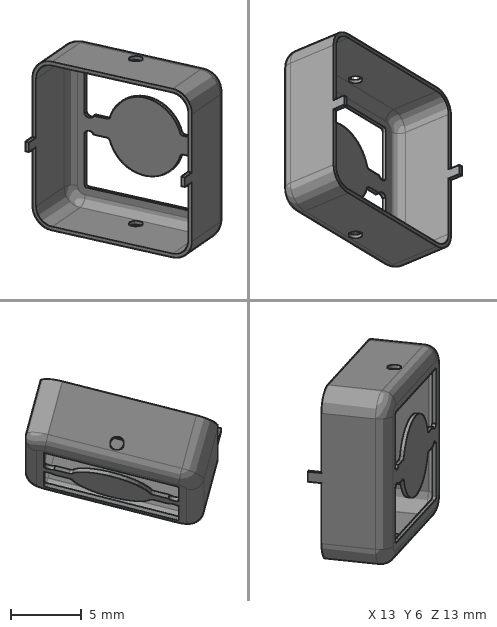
import cadquery as cq

side = 13.0
tab_length = 1.0
depth = 5.0
wall = 0.3
corner_radius = 1.6
back_edge_radius = 1.0

window_side = 9.85
window_corner_radius = 0.2
disc_radius = 3.0
bar_height = 1.45
bar_fillet_radius = 0.25
relief_radius = 0.39
relief_center_z = 0.9

tab_height = 0.75
hole_diameter = 0.98
hole_from_back = 1.6

overlap = 0.13


def rounded_block(width, length, corner, edge):
    """Square block from y = 0 to y = length, with its +Y edge rounded."""
    block = cq.Workplane("XZ").rect(width, width).extrude(-length)
    return block.edges("|Y").fillet(corner).faces(">Y").edges().fillet(edge)


def plate(sketch):
    """Extrude an XZ outline through the thickness of the back plate."""
    return sketch.extrude(-wall)


def back_plane():
    return cq.Workplane("XZ", origin=(0, depth - wall, 0))


def make_shell():
    outer = rounded_block(side, depth, corner_radius, back_edge_radius)
    inner = rounded_block(
        side - 2 * wall, depth - wall, corner_radius - wall, back_edge_radius - wall
    )
    return outer.cut(inner)


def make_window():
    """Volume removed from the back plate, leaving the bar and disc."""
    window = plate(back_plane().rect(window_side, window_side))
    window = window.edges("|Y").fillet(window_corner_radius)

    bar = plate(back_plane().rect(window_side + 2 * overlap, bar_height))
    disc = plate(back_plane().circle(disc_radius))
    bridge = bar.union(disc)
    reach = disc_radius + overlap
    corner_zone = cq.selectors.BoxSelector(
        (-reach, depth - 2 * wall, -bar_height), (reach, depth + wall, bar_height)
    )
    along_y = cq.selectors.ParallelDirSelector(cq.Vector(0, 1, 0))
    corners = cq.selectors.AndSelector(corner_zone, along_y)
    bridge = bridge.edges(corners).fillet(bar_fillet_radius)

    relief_x = window_side / 2 - relief_radius
    relief_centers = [(x, z) for x in (-relief_x, relief_x) for z in (-relief_center_z, relief_center_z)]
    reliefs = plate(back_plane().pushPoints(relief_centers).circle(relief_radius))
    return window.cut(bridge).union(reliefs)


def make_tabs():
    """Tabs in line with the side walls, projecting past the open rim."""
    tab_centers = [(-(side - wall) / 2, 0), ((side - wall) / 2, 0)]
    tabs = cq.Workplane("XZ", origin=(0, -tab_length, 0)).pushPoints(tab_centers)
    return tabs.rect(wall, tab_height).extrude(-(tab_length + overlap))


def make_hole():
    """One cylinder that pierces both the top and bottom walls."""
    start = (0, depth - hole_from_back, -side / 2 - overlap)
    return cq.Workplane("XY", origin=start).circle(hole_diameter / 2).extrude(side + 2 * overlap)


result = make_shell().cut(make_window()).cut(make_hole()).union(make_tabs())